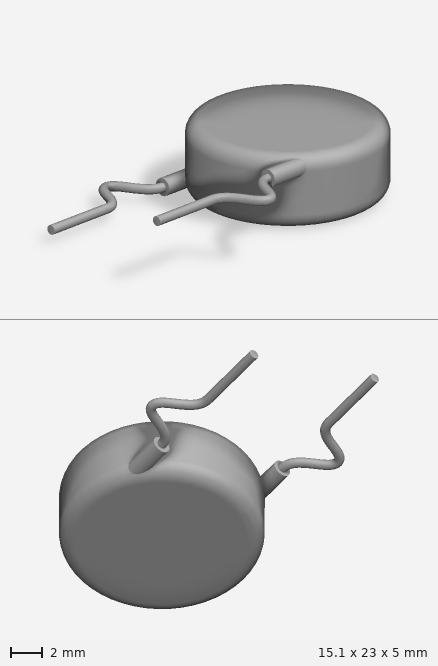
import cadquery as cq

total_width = 15.06
total_length = 23.0
disc_diameter = 13.0
disc_height = 5.0
disc_edge_radius = 1.0
sleeve_diameter = 1.2
lead_diameter = 0.65
lead_x = 4.7
lead_z = 1.65
kink_half_length = 2.5
kink_foot_handle = 1.5
kink_peak_handle = 1.0

disc_radius = disc_diameter / 2
lead_radius = lead_diameter / 2
sleeve_end_y = -disc_radius
kink_peak_y = sleeve_end_y - kink_half_length
kink_end_y = kink_peak_y - kink_half_length
lead_tip_y = disc_radius - total_length
kink_peak_x = total_width / 2 - lead_radius

lead_sides = (-1, 1)


def round_bar(x, z, diameter, start_y, end_y):
    """Cylinder along Y from start_y forward (toward -Y) to end_y."""
    start = cq.Plane(origin=(x, start_y, z), xDir=(1, 0, 0), normal=(0, -1, 0))
    return cq.Workplane(start).circle(diameter / 2).extrude(start_y - end_y)


def make_housing():
    """Round-edged disc with a coating sleeve reaching forward around each lead exit."""
    housing = (
        cq.Workplane("XY", origin=(0, 0, -disc_height / 2))
        .circle(disc_radius)
        .extrude(disc_height)
        .edges("%CIRCLE")
        .fillet(disc_edge_radius)
    )
    for side in lead_sides:
        sleeve = round_bar(side * lead_x, side * lead_z, sleeve_diameter, 0, sleeve_end_y)
        housing = housing.union(sleeve)
    return housing.solids()


def make_lead(side):
    """Wire that starts on the sleeve end, kinks outward and runs straight to its tip."""
    axis_x = side * lead_x
    peak_x = side * kink_peak_x
    start = cq.Plane(origin=(0, 0, side * lead_z))
    path = (
        cq.Workplane(start)
        .moveTo(axis_x, sleeve_end_y)
        .bezier([
            (axis_x, sleeve_end_y),
            (axis_x, sleeve_end_y - kink_foot_handle),
            (peak_x, kink_peak_y + kink_peak_handle),
            (peak_x, kink_peak_y),
        ])
        .bezier([
            (peak_x, kink_peak_y),
            (peak_x, kink_peak_y - kink_peak_handle),
            (axis_x, kink_end_y + kink_foot_handle),
            (axis_x, kink_end_y),
        ])
        .lineTo(axis_x, lead_tip_y)
    )
    section_centre = (axis_x, sleeve_end_y, side * lead_z)
    section = cq.Plane(origin=section_centre, xDir=(1, 0, 0), normal=(0, -1, 0))
    return cq.Workplane(section).circle(lead_radius).sweep(path)


housing = make_housing()
leads = [make_lead(side) for side in lead_sides]

result = cq.Compound.makeCompound([housing.val(), *[lead.val() for lead in leads]])